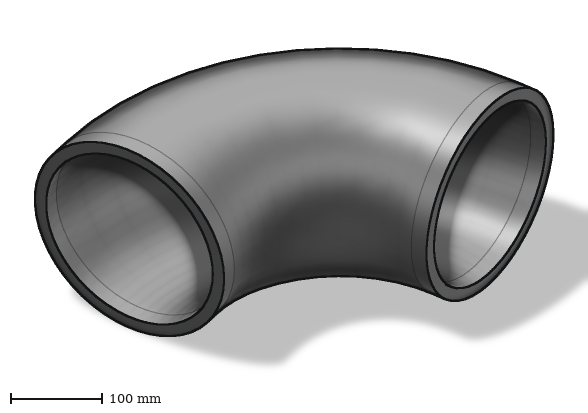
import cadquery as cq

overall_length = 410.0
outer_diameter = 250.0
inner_diameter = 220.0
collar_length = 20.0
bend_angle = 90.0

bend_radius = overall_length - collar_length - outer_diameter / 2


def elbow(diameter):
    """Solid quarter bend with a straight collar at each end, open towards -Y and +X."""
    bend = (
        cq.Workplane("XZ")
        .circle(diameter / 2)
        .revolve(bend_angle, (bend_radius, 0), (bend_radius, -1))
    )
    front_collar = cq.Workplane("XZ").circle(diameter / 2).extrude(collar_length)
    side_collar = (
        cq.Workplane("YZ", origin=(bend_radius, bend_radius, 0))
        .circle(diameter / 2)
        .extrude(collar_length)
    )
    return bend.union(front_collar).union(side_collar)


result = elbow(outer_diameter).cut(elbow(inner_diameter))